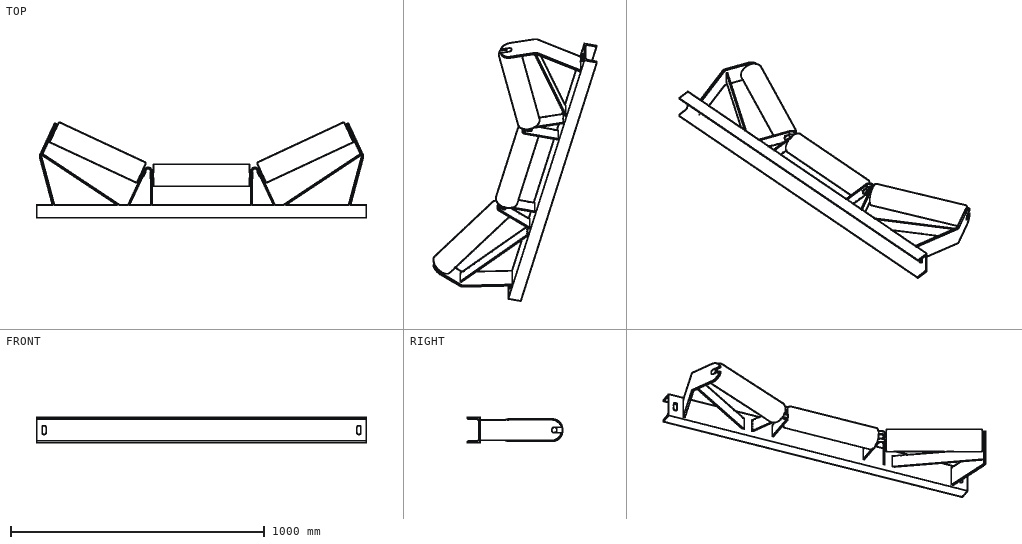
import cadquery as cq
import math


beam_length = 1300.0
beam_height = 100.0
flange_depth = 51.0
web_thickness = 5.0
flange_thickness = 7.2
root_radius = 8.5
toe_radius = 6.0
bolt_slot_width = 15.0
bolt_slot_length = 35.0
bolt_slot_x = 620.0

trough_angle = 25.0
roller_radius = 44.0
roller_length = 380.0
roller_edge_radius = 5.0
shaft_radius = 11.0
centre_roller_y = 117.0
wing_roller_x = 408.0
wing_roller_y = 207.0

end_gap = 5.0
inner_strap_width = 51.0
inner_strap_thickness = 5.0
inner_bend_radius = 15.0
outer_strap_width = 80.0
outer_strap_thickness = 8.0
outer_strap_reach = 34.0
outer_bend_radius = 18.0
outer_leg_angle = 15.0
outer_bend_drop = 108.0

brace_width = 50.0
brace_thickness = 5.0
brace_foot_x = 322.0
brace_angle = 33.5

strap_face = roller_length / 2 + end_gap
inner_back = strap_face + inner_strap_thickness
outer_back = strap_face + outer_strap_thickness
shaft_end = outer_back
trough_sin = math.sin(math.radians(trough_angle))
trough_cos = math.cos(math.radians(trough_angle))


def wing_point(along, across):
    """XY point of the right wing roller: distance along its axis and across it, away from the beam."""
    x = wing_roller_x + along * trough_cos - across * trough_sin
    y = wing_roller_y + along * trough_sin + across * trough_cos
    return x, y


def wing_foot_x(along):
    """X where a line square to the wing axis, at the given distance along it, meets Y = 0."""
    x, y = wing_point(along, 0)
    return x + y * trough_sin / trough_cos


def place_on_wing(body):
    """Move a body built about a roller lying along X at the origin to the right wing."""
    return body.rotate((0, 0, 0), (0, 0, 1), trough_angle).translate((wing_roller_x, wing_roller_y, 0))


def mirror_x(body):
    """Left-hand copy of a right-hand body."""
    return body.mirror("YZ")


def plate(outline, width):
    """Extrude an XY outline to a width centred on Z = 0."""
    return outline.extrude(width).translate((0, 0, -width / 2))


def round_flange_corners(beam, y, z, radius):
    """Fillet the two long edges at this Y on the inner faces of the flanges, at +Z and -Z."""
    for side in (-1, 1):
        corner = cq.selectors.NearestToPointSelector((0, y, side * z))
        beam = beam.edges("|X").edges(corner).fillet(radius)
    return beam


def make_beam():
    """Channel with its web's back on Y = 0, its flanges toward -Y and a bolt slot near each end."""
    half_height = beam_height / 2
    inner_height = half_height - flange_thickness
    profile = (
        cq.Workplane("YZ", origin=(-beam_length / 2, 0, 0))
        .polyline([
            (0, -half_height),
            (-flange_depth, -half_height),
            (-flange_depth, -inner_height),
            (-web_thickness, -inner_height),
            (-web_thickness, inner_height),
            (-flange_depth, inner_height),
            (-flange_depth, half_height),
            (0, half_height),
        ])
        .close()
    )
    beam = profile.extrude(beam_length)
    beam = round_flange_corners(beam, -web_thickness, inner_height, root_radius)
    beam = round_flange_corners(beam, -flange_depth, inner_height, toe_radius)
    bolt_slots = (
        cq.Workplane("XZ")
        .pushPoints([(-bolt_slot_x, 0), (bolt_slot_x, 0)])
        .slot2D(bolt_slot_length, bolt_slot_width, 90)
        .extrude(flange_depth)
    )
    return beam.cut(bolt_slots)


def make_roller():
    """Roller and its shaft, lying along X with its middle at the origin."""
    shell = (
        cq.Workplane("YZ", origin=(-roller_length / 2, 0, 0))
        .circle(roller_radius)
        .extrude(roller_length)
        .faces("<X or >X")
        .edges()
        .fillet(roller_edge_radius)
    )
    shaft = (
        cq.Workplane("YZ", origin=(-shaft_end, 0, 0)).circle(shaft_radius).extrude(2 * shaft_end)
    )
    return shell.union(shaft)


def shaft_slot(start, end):
    """Cutter from X = start to X = end for a slot with its round bottom on the X axis, open toward +Y."""
    depth = end - start
    bottom = cq.Workplane("YZ", origin=(start, 0, 0)).circle(shaft_radius).extrude(depth)
    opening = cq.Workplane("XY", origin=(start, 0, 0)).box(
        depth, outer_strap_width, 2 * shaft_radius, centered=(False, False, True)
    )
    return bottom.union(opening)


def make_inner_bracket():
    """Right inner bracket: a strap bent over at the top into an upright and a sloping leg."""
    bend_x = strap_face + inner_bend_radius
    slope_foot_x = wing_foot_x(-strap_face)
    bend_y = (slope_foot_x - bend_x - inner_bend_radius / trough_cos) * trough_cos / trough_sin
    middle_angle = math.radians((180 + trough_angle) / 2)

    def strap_side(radius, foot_x):
        """Points along one side of the strap, from the upright's foot to the sloping foot."""
        upright_top = (bend_x - radius, bend_y)
        crown = (bend_x + radius * math.cos(middle_angle), bend_y + radius * math.sin(middle_angle))
        slope_top = (bend_x + radius * trough_cos, bend_y + radius * trough_sin)
        return (upright_top[0], 0), upright_top, crown, slope_top, (foot_x, 0)

    outside = strap_side(inner_bend_radius, slope_foot_x)
    inside = strap_side(inner_bend_radius - inner_strap_thickness, wing_foot_x(-inner_back))
    outline = (
        cq.Workplane("XY")
        .moveTo(*outside[0])
        .lineTo(*outside[1])
        .threePointArc(outside[2], outside[3])
        .lineTo(*outside[4])
        .lineTo(*inside[4])
        .lineTo(*inside[3])
        .threePointArc(inside[2], inside[1])
        .lineTo(*inside[0])
        .close()
    )
    upright_slot = shaft_slot(strap_face, bend_x).translate((0, centre_roller_y, 0))
    slope_slot = place_on_wing(shaft_slot(-bend_x, -strap_face))
    return plate(outline, inner_strap_width).cut(upright_slot).cut(slope_slot)


def make_outer_bracket():
    """Right outer bracket: a strap bent once, with a round slotted end at the shaft."""
    leg_slope = math.tan(math.radians(outer_leg_angle))
    tip_radius = outer_strap_width / 2
    tip_centre = outer_strap_reach - tip_radius
    half_turn = math.radians(trough_angle + outer_leg_angle) / 2
    inner_corner = wing_point(strap_face, -outer_bend_drop)
    outer_corner = wing_point(outer_back, -outer_bend_drop - outer_strap_thickness * math.tan(half_turn))
    inner_foot = (inner_corner[0] - inner_corner[1] * leg_slope, 0)
    outer_foot = (outer_corner[0] - outer_corner[1] * leg_slope, 0)
    outline = (
        cq.Workplane("XY")
        .polyline([
            inner_foot,
            inner_corner,
            wing_point(strap_face, tip_centre),
            wing_point(outer_back, tip_centre),
            outer_corner,
            outer_foot,
        ])
        .close()
    )
    strap = plate(outline, outer_strap_width)
    inner_bend = cq.selectors.NearestToPointSelector((*inner_corner, 0))
    outer_bend = cq.selectors.NearestToPointSelector((*outer_corner, 0))
    strap = strap.edges("|Z").edges(inner_bend).fillet(outer_bend_radius - outer_strap_thickness)
    strap = strap.edges("|Z").edges(outer_bend).fillet(outer_bend_radius)
    round_end = (
        cq.Workplane("YZ", origin=(strap_face, tip_centre, 0))
        .circle(tip_radius)
        .extrude(outer_strap_thickness)
    )
    slot = shaft_slot(strap_face, outer_back)
    return strap.union(place_on_wing(round_end)).cut(place_on_wing(slot))


def make_brace(outer_bracket):
    """Right brace: a flat bar from the beam up to the bend of the outer bracket."""
    slope = math.tan(math.radians(brace_angle))
    end_x = wing_point(outer_back, -outer_bend_drop)[0]
    foot_length = brace_thickness / math.sin(math.radians(brace_angle))
    outline = (
        cq.Workplane("XY")
        .polyline([
            (brace_foot_x, 0),
            (end_x, (end_x - brace_foot_x) * slope),
            (end_x, (end_x - brace_foot_x - foot_length) * slope),
            (brace_foot_x + foot_length, 0),
        ])
        .close()
    )
    bar = plate(outline, brace_width).cut(outer_bracket)
    return bar.solids("<X")


beam = make_beam()
centre_roller = make_roller().translate((0, centre_roller_y, 0))
wing_roller = place_on_wing(make_roller())
inner_bracket = make_inner_bracket()
outer_bracket = make_outer_bracket()
brace = make_brace(outer_bracket)

bodies = [beam.val(), centre_roller.val()]
for right_body in (wing_roller, inner_bracket, outer_bracket, brace):
    bodies.append(right_body.val())
    bodies.append(mirror_x(right_body).val())

result = cq.Compound.makeCompound(bodies)